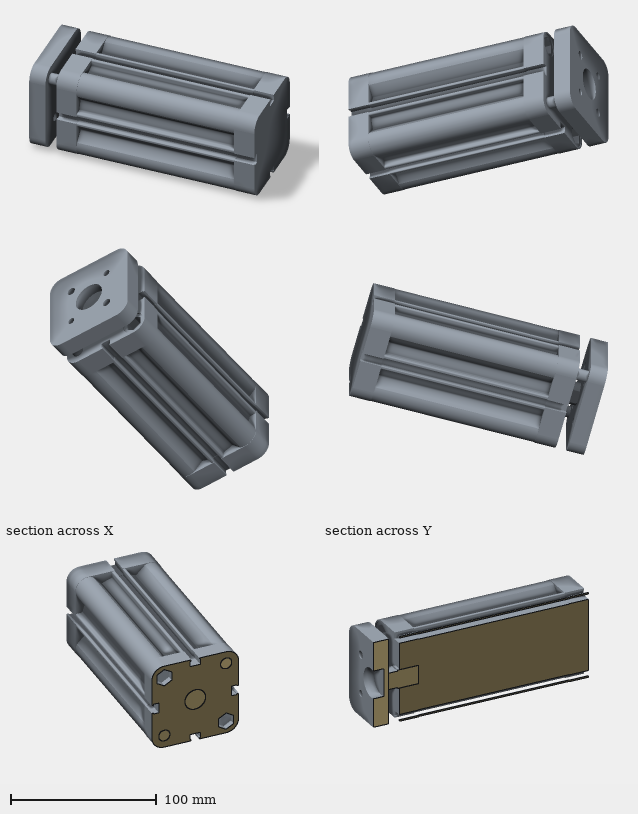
import cadquery as cq
import math

total_length = 166.5
plate_thickness = 12.0
gap = 8.0
cap_thickness = 15.0
square_side = 65.5
corner_radius = 9.5

half_side = square_side / 2
corner_centre = half_side - corner_radius
housing_front = plate_thickness + gap
tube_start = housing_front + cap_thickness
tube_end = total_length - cap_thickness
tube_length = tube_end - tube_start

recess_diameter = 22.0
recess_depth = 8.0
plate_bolt_circle = 42.0
plate_hole_offset = plate_bolt_circle / 2 / math.sqrt(2)
dowel_hole_diameter = 6.0
thread_hole_diameter = 5.0

piston_rod_diameter = 16.0
piston_rod_chamfer = 0.5
wrench_flat_width = 13.0
wrench_flat_length = 6.5
guide_rod_diameter = 8.0
rod_engagement = cap_thickness

tube_side = 65.0
tube_half_side = tube_side / 2
barrel_radius = 28.0
lobe_radius = tube_half_side - corner_centre
web_width = 17.3
valley_fillet = 1.0
rib_half_width = 5.25
rib_fillet = 1.0

slot_mouth_width = 5.9
slot_lip_height = 1.5
cap_slot_width = 7.4
tube_slot_width = 6.8
slot_depth = 5.2
tube_mouth_fillet = 0.5

screw_recess_diameter = 16.6
screw_recess_depth = 0.7
screw_hex_width = 11.0
screw_hex_depth = 6.8

quarter_turns = (0, 90, 180, 270)
rod_corners = ((-1, 1), (1, -1))
screw_corners = ((1, 1), (-1, -1))


def section(x):
    """Workplane across the cylinder axis at x, with local axes Y and Z."""
    return cq.Workplane("YZ", origin=(x, 0, 0))


def at_corners(corners, offset):
    """Corner signs turned into points at the given offset from the axis."""
    return [(y_sign * offset, z_sign * offset) for y_sign, z_sign in corners]


def rounded_block(x, thickness):
    """Square block with rounded corners that starts at x."""
    block = section(x).rect(square_side, square_side).extrude(thickness)
    return block.edges("|X").fillet(corner_radius)


def long_bar(bottom, top, width, x, length):
    """Rectangular bar centred on Y = 0 between two heights."""
    return section(x).center(0, (bottom + top) / 2).rect(width, top - bottom).extrude(length)


def around_axis(body, combine, tool):
    """Apply a tool to the body on all four sides."""
    for angle in quarter_turns:
        body = combine(body, tool.rotate((0, 0, 0), (1, 0, 0), angle))
    return body


def join(body, tool):
    return body.union(tool)


def remove(body, tool):
    return body.cut(tool)


def fillet_along(body, edge_points, radius):
    """Fillet the lengthwise tube edges at the given Y, Z points of each side."""
    middle = (tube_start + tube_end) / 2
    edges = []
    for angle in map(math.radians, quarter_turns):
        for y, z in edge_points:
            turned_y = y * math.cos(angle) - z * math.sin(angle)
            turned_z = y * math.sin(angle) + z * math.cos(angle)
            nearest = cq.selectors.NearestToPointSelector((middle, turned_y, turned_z))
            edges.extend(body.edges("|X").edges(nearest).vals())
    return body.newObject(edges).fillet(radius)


def make_plate():
    plate = rounded_block(0, plate_thickness)
    recess = section(0).circle(recess_diameter / 2).extrude(recess_depth)
    plate = plate.cut(recess)
    for corners, diameter in (
        (screw_corners, dowel_hole_diameter),
        (rod_corners, thread_hole_diameter),
    ):
        points = at_corners(corners, plate_hole_offset)
        holes = section(0).pushPoints(points).circle(diameter / 2).extrude(plate_thickness)
        plate = plate.cut(holes)
    return plate


def make_piston_rod():
    length = gap + rod_engagement
    rod = section(plate_thickness).circle(piston_rod_diameter / 2).extrude(length)
    rod = rod.faces("<X").chamfer(piston_rod_chamfer)
    flat = long_bar(
        wrench_flat_width / 2,
        piston_rod_diameter,
        piston_rod_diameter,
        plate_thickness,
        wrench_flat_length,
    )
    return rod.cut(flat).cut(flat.mirror("XY"))


def make_guide_rod(y, z):
    length = gap + rod_engagement
    return section(plate_thickness).center(y, z).circle(guide_rod_diameter / 2).extrude(length)


def make_lobe():
    """Diagonal web whose outer end is rounded about the corner centre, at 45 degrees."""
    centre_distance = corner_centre * math.sqrt(2)
    half_web = web_width / 2
    shoulder = centre_distance + math.sqrt(lobe_radius**2 - half_web**2)
    return (
        section(tube_start)
        .moveTo(-half_web, 0)
        .lineTo(half_web, 0)
        .lineTo(half_web, shoulder)
        .threePointArc((0, centre_distance + lobe_radius), (-half_web, shoulder))
        .close()
        .extrude(tube_length)
        .rotate((0, 0, 0), (1, 0, 0), 45)
    )


def make_slot(surface, width, x, length):
    """Cutter for the slot in the top face at the given height."""
    lip_bottom = surface - slot_lip_height
    mouth = long_bar(lip_bottom, surface, slot_mouth_width, x, length)
    chamber = long_bar(surface - slot_depth, lip_bottom, width, x, length)
    return mouth.union(chamber)


def make_tube():
    tube = section(tube_start).circle(barrel_radius).extrude(tube_length)
    tube = around_axis(tube, join, make_lobe())
    rib = long_bar(0, tube_half_side, 2 * rib_half_width, tube_start, tube_length)
    tube = around_axis(tube, join, rib)

    span = web_width / math.sqrt(2)
    valley_y = (math.sqrt(2 * barrel_radius**2 - span**2) - span) / 2
    valley_z = valley_y + span
    rib_root_z = math.sqrt(barrel_radius**2 - rib_half_width**2)
    valleys = [(side * valley_y, valley_z) for side in (-1, 1)]
    roots = [(side * rib_half_width, rib_root_z) for side in (-1, 1)]
    crowns = [(side * rib_half_width, tube_half_side) for side in (-1, 1)]
    tube = fillet_along(tube, valleys, valley_fillet)
    tube = fillet_along(tube, roots + crowns, rib_fillet)

    slot = make_slot(tube_half_side, tube_slot_width, tube_start, tube_length)
    tube = around_axis(tube, remove, slot)
    mouth_edges = [(side * slot_mouth_width / 2, tube_half_side) for side in (-1, 1)]
    return fillet_along(tube, mouth_edges, tube_mouth_fillet)


def make_cap(x):
    cap = rounded_block(x, cap_thickness)
    return around_axis(cap, remove, make_slot(half_side, cap_slot_width, x, cap_thickness))


def make_screw_recesses():
    """Shallow round recess with a hexagon socket in its floor, for each screw."""
    across_corners = screw_hex_width / math.cos(math.radians(30))
    socket_depth = screw_recess_depth + screw_hex_depth
    socket = section(housing_front).polygon(6, across_corners).extrude(socket_depth)
    socket = socket.rotate((0, 0, 0), (1, 0, 0), 30)
    recess = section(housing_front).circle(screw_recess_diameter / 2).extrude(screw_recess_depth)
    recess = recess.union(socket)
    return [recess.translate((0, y, z)) for y, z in at_corners(screw_corners, corner_centre)]


def make_housing(rods):
    housing = make_cap(housing_front).union(make_tube()).union(make_cap(tube_end))
    for cutter in make_screw_recesses() + rods:
        housing = housing.cut(cutter)
    return housing


plate = make_plate()
piston_rod = make_piston_rod()
guide_rods = [make_guide_rod(y, z) for y, z in at_corners(rod_corners, corner_centre)]
housing = make_housing([piston_rod, *guide_rods])

result = cq.Compound.makeCompound(
    [plate.val(), piston_rod.val(), housing.val(), *[rod.val() for rod in guide_rods]]
)